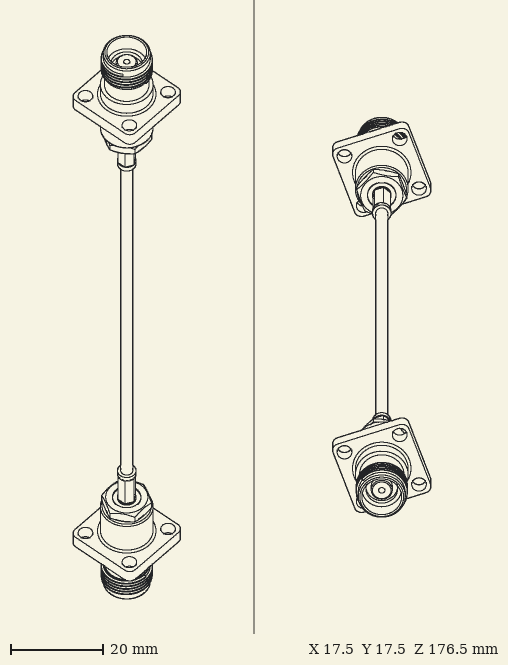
import cadquery as cq

total_length = 176.5
jack_end = total_length / 2

thread_start = 1.5
thread_end = 6.5
neck_end = 10.8
flange_front = 14.0
flange_back = 17.1
body_back = 25.6
hex_back = 28.5
crimp_back = 36.0
ferrule_back = 37.3

body_diameter = 11.5
neck_diameter = 9.7
body_chamfer = 0.4
bore_diameter = 8.7
bore_step = 3.9
narrow_bore_diameter = 6.9
bore_floor = 5.1

tip_diameter = 10.2
tip_chamfer = 0.4
thread_diameter = 11.1
thread_pitch = 0.9
thread_root_width = 0.85
thread_crest_width = 0.26
thread_embed = 0.2

flange_side = 17.5
flange_corner_radius = 1.6
flange_cone_diameter = 12.7
flange_cone_height = 0.26
mount_hole_diameter = 3.2
mount_hole_pitch = 12.7

hex_sides = 6
hex_corners = 11.1
hex_bevel_height = 0.7
hex_face_diameter = 9.2
recess_diameter = 6.2
recess_depth = 0.4

insulator_diameter = 4.6
insulator_front = 3.2
insulator_chamfer = 0.26
socket_diameter = 1.35
socket_depth = 5.3

ferrule_diameter = 4.0
ferrule_insertion = 2.6
ferrule_front = hex_back - ferrule_insertion
cable_diameter = 2.6


def frustum(front_diameter, front, back_diameter, back):
    """A round solid on the Z axis that tapers between two distances from the mating face."""
    return (
        cq.Workplane("XZ")
        .moveTo(0, jack_end - front)
        .lineTo(front_diameter / 2, jack_end - front)
        .lineTo(back_diameter / 2, jack_end - back)
        .lineTo(0, jack_end - back)
        .close()
        .revolve(360, (0, 0), (0, 1))
    )


def cylinder(diameter, front, back):
    """A rod on the Z axis between two distances from the mating face."""
    return frustum(diameter, front, diameter, back)


def hexagon(corner_diameter, front, back):
    """A hexagonal rod on the Z axis with corners pointing along +X and -X."""
    base = cq.Workplane("XY").workplane(offset=jack_end - back)
    return base.polygon(hex_sides, corner_diameter).extrude(back - front)


def make_thread():
    """One right-handed helical ridge, rooted slightly inside the threaded tip."""
    root_radius = tip_diameter / 2
    half_root = thread_root_width / 2
    half_crest = thread_crest_width / 2
    helix = cq.Wire.makeHelix(thread_pitch, thread_end - thread_start - thread_root_width, root_radius)
    return (
        cq.Workplane("XZ")
        .moveTo(root_radius - thread_embed, -half_root)
        .lineTo(thread_diameter / 2, -half_crest)
        .lineTo(thread_diameter / 2, half_crest)
        .lineTo(root_radius - thread_embed, half_root)
        .close()
        .sweep(cq.Workplane(helix), isFrenet=True)
        .translate((0, 0, jack_end - thread_end + half_root))
    )


def make_flange():
    plate = (
        cq.Workplane("XY")
        .workplane(offset=jack_end - flange_back)
        .rect(flange_side, flange_side)
        .extrude(flange_back - flange_front)
        .edges("|Z")
        .fillet(flange_corner_radius)
    )
    drilled = (
        plate.faces(">Z")
        .workplane(origin=(0, 0, 0))
        .rect(mount_hole_pitch, mount_hole_pitch, forConstruction=True)
        .vertices()
        .hole(mount_hole_diameter)
    )
    front_cone = frustum(body_diameter, flange_front - flange_cone_height, flange_cone_diameter, flange_front)
    back_cone = frustum(flange_cone_diameter, flange_back, body_diameter, flange_back + flange_cone_height)
    return drilled.union(front_cone).union(back_cone)


def make_hex():
    """The hexagon, with its corners bevelled by a cone at each end."""
    middle_front = body_back + hex_bevel_height
    middle_back = hex_back - hex_bevel_height
    envelope = (
        frustum(hex_face_diameter, body_back, hex_corners, middle_front)
        .union(cylinder(hex_corners, middle_front, middle_back))
        .union(frustum(hex_corners, middle_back, hex_face_diameter, hex_back))
    )
    prism = hexagon(hex_corners, body_back, hex_back).rotate((0, 0, 0), (0, 0, 1), 90)
    return prism.intersect(envelope)


def make_shell():
    tip = cylinder(tip_diameter, 0, thread_end).faces(">Z").chamfer(tip_chamfer).union(make_thread())
    neck = cylinder(neck_diameter, thread_end, neck_end)
    barrel = cylinder(body_diameter, neck_end, body_back).faces("<Z").chamfer(body_chamfer)
    shell = barrel.union(make_flange()).union(neck).union(tip).union(make_hex())

    bore = cylinder(bore_diameter, 0, bore_step)
    narrow_bore = cylinder(narrow_bore_diameter, bore_step, bore_floor)
    insulator_seat = cylinder(insulator_diameter, bore_floor, ferrule_front)
    ferrule_seat = cylinder(ferrule_diameter, ferrule_front, hex_back)
    recess = cylinder(recess_diameter, hex_back - recess_depth, hex_back)
    return shell.cut(bore).cut(narrow_bore).cut(insulator_seat).cut(ferrule_seat).cut(recess)


def make_insulator():
    rod = cylinder(insulator_diameter, insulator_front, ferrule_front).faces(">Z").chamfer(insulator_chamfer)
    return rod.cut(cylinder(socket_diameter, insulator_front, insulator_front + socket_depth))


def make_ferrule():
    """A tube with a round root inside the shell, a hexagonal crimp and a round collar."""
    root = cylinder(ferrule_diameter, ferrule_front, hex_back)
    crimp = hexagon(ferrule_diameter, hex_back, crimp_back)
    collar = cylinder(ferrule_diameter, crimp_back, ferrule_back)
    return root.union(crimp).union(collar).cut(cylinder(cable_diameter, ferrule_front, ferrule_back))


def make_cable():
    return cylinder(cable_diameter, ferrule_front, total_length - ferrule_front)


bodies = [make_cable().val()]
for end_turn in (0, 180):
    for body in (make_shell(), make_insulator(), make_ferrule()):
        bodies.append(body.rotate((0, 0, 0), (1, 0, 0), end_turn).val())

result = cq.Compound.makeCompound(bodies)